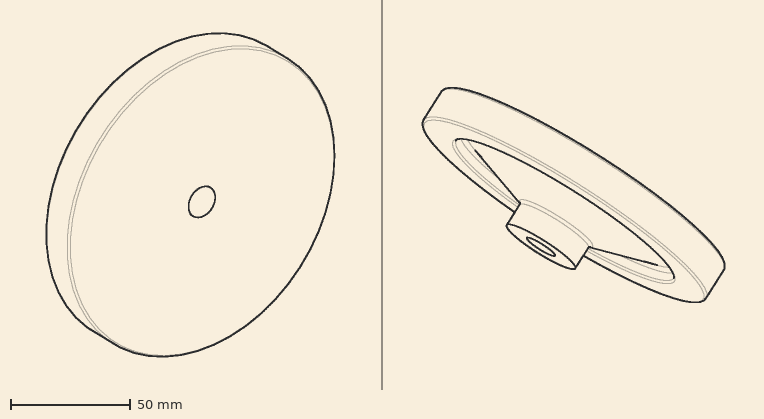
import cadquery as cq
import math


BORE_DIAMETER = 14.0
HUB_DIAMETER = 34.0
HUB_LENGTH = 11.5

OVERALL_LENGTH = 34.0
RIM_DIAMETER = 140.0
RIM_WIDTH = 16.0
RECESS_DIAMETER = 107.87

CONE_ANGLE = 20.0

RIM_ROUNDING = 0.96
HUB_FOOT_FILLET = 1.6
RECESS_FLOOR_FILLET = 1.6

EDGE_TOLERANCE = 0.01

bore_radius = BORE_DIAMETER / 2
hub_radius = HUB_DIAMETER / 2
rim_radius = RIM_DIAMETER / 2
recess_radius = RECESS_DIAMETER / 2
rim_face_x = OVERALL_LENGTH - RIM_WIDTH
cone_depth = (recess_radius - hub_radius) * math.tan(math.radians(CONE_ANGLE))
recess_floor_x = HUB_LENGTH + cone_depth


def turned_body():
    """Revolve the sharp-cornered half section, drawn as (X, radius) points."""
    half_section = [
        (0, bore_radius),
        (0, hub_radius),
        (HUB_LENGTH, hub_radius),
        (recess_floor_x, recess_radius),
        (rim_face_x, recess_radius),
        (rim_face_x, rim_radius),
        (OVERALL_LENGTH, rim_radius),
        (OVERALL_LENGTH, bore_radius),
    ]
    profile = cq.Workplane("XY").polyline(half_section).close()
    return profile.revolve(360, (0, 0, 0), (1, 0, 0))


def round_edge(body, x, radius, rounding):
    """Fillet the circular edge of the given radius that lies at the given X."""

    def is_wanted(edge):
        same_place = abs(edge.Center().x - x) < EDGE_TOLERANCE
        same_size = abs(edge.radius() - radius) < EDGE_TOLERANCE
        return same_place and same_size

    return body.edges("%CIRCLE").filter(is_wanted).fillet(rounding)


result = turned_body()

result = round_edge(result, HUB_LENGTH, hub_radius, HUB_FOOT_FILLET)
result = round_edge(result, recess_floor_x, recess_radius, RECESS_FLOOR_FILLET)

result = round_edge(result, rim_face_x, recess_radius, RIM_ROUNDING)
result = round_edge(result, rim_face_x, rim_radius, RIM_ROUNDING)
result = round_edge(result, OVERALL_LENGTH, rim_radius, RIM_ROUNDING)